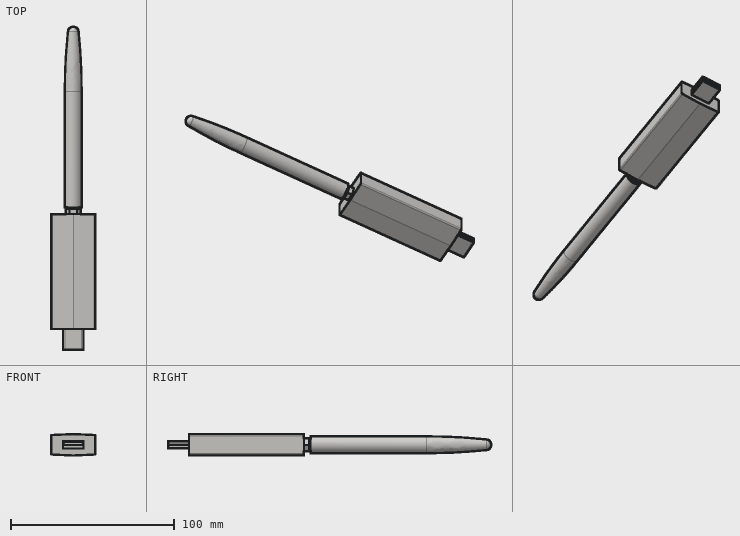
import cadquery as cq
import math

total_length = 197.1
plug_length = 12.6
body_length = 70.2
nut_length = 3.2
collar_length = 1.0

body_width = 27.0
ridge_height = 13.2
roof_rise = 0.5
edge_radius = 0.8

plug_width = 12.6
plug_height = 4.3
shell_top = 0.5
shell_side = 0.3
opening_radius = 1.0
tongue_height = 2.0
opening_depth = plug_length

nut_across_flats = 8.0
collar_diameter = 7.0
rod_diameter = 10.5
nose_radius = 3.4
taper_length = 39.5

body_front = plug_length
body_back = body_front + body_length
nut_back = body_back + nut_length
rod_start = nut_back + collar_length


def along_y(start):
    """Workplane across the long axis at Y = start, extruding toward +Y, with local y along Z."""
    return cq.Workplane(cq.Plane(origin=(0, start, 0), xDir=(-1, 0, 0), normal=(0, 1, 0)))


def make_body():
    half_width = body_width / 2
    ridge = ridge_height / 2
    shoulder = ridge - roof_rise
    outline = [
        (0, ridge),
        (half_width, shoulder),
        (half_width, -shoulder),
        (0, -ridge),
        (-half_width, -shoulder),
        (-half_width, shoulder),
    ]
    body = along_y(body_front).polyline(outline).close().extrude(body_length)
    return body.edges("|Y").edges("<X or >X").fillet(edge_radius)


def make_plug():
    plug = along_y(0).rect(plug_width, plug_height).extrude(plug_length)
    tongue_top = -plug_height / 2 + tongue_height
    opening_top = plug_height / 2 - shell_top
    opening = (
        along_y(0)
        .center(0, (tongue_top + opening_top) / 2)
        .rect(plug_width - 2 * shell_side, opening_top - tongue_top)
        .extrude(opening_depth)
        .edges("|Y and >Z")
        .fillet(opening_radius)
    )
    return plug.cut(opening)


def make_rod():
    """Turned rod: straight shaft, long curved taper and a round nose, all tangent."""
    rod_radius = rod_diameter / 2
    taper_start = total_length - taper_length
    nose_center = total_length - nose_radius

    nose_offset = taper_length - nose_radius
    taper_radius = (nose_offset**2 + rod_radius**2 - nose_radius**2) / (2 * (rod_radius - nose_radius))
    taper_center_x = rod_radius - taper_radius
    taper_angle = math.atan2(nose_offset, -taper_center_x)

    def on_taper(angle):
        return (
            taper_center_x + taper_radius * math.cos(angle),
            taper_start + taper_radius * math.sin(angle),
        )

    def on_nose(angle):
        return (nose_radius * math.cos(angle), nose_center + nose_radius * math.sin(angle))

    profile = (
        cq.Workplane("XY")
        .moveTo(0, rod_start)
        .lineTo(rod_radius, rod_start)
        .lineTo(rod_radius, taper_start)
        .threePointArc(on_taper(taper_angle / 2), on_taper(taper_angle))
        .threePointArc(on_nose((taper_angle + math.pi / 2) / 2), (0, total_length))
        .close()
    )
    return profile.revolve(360, (0, 0, 0), (0, 1, 0))


def make_nut_and_collar():
    across_corners = nut_across_flats / math.cos(math.pi / 6)
    nut = along_y(body_back).polygon(6, across_corners).extrude(nut_length)
    collar = along_y(nut_back).circle(collar_diameter / 2).extrude(collar_length)
    return nut.union(collar)


result = make_body().union(make_plug()).union(make_nut_and_collar()).union(make_rod())